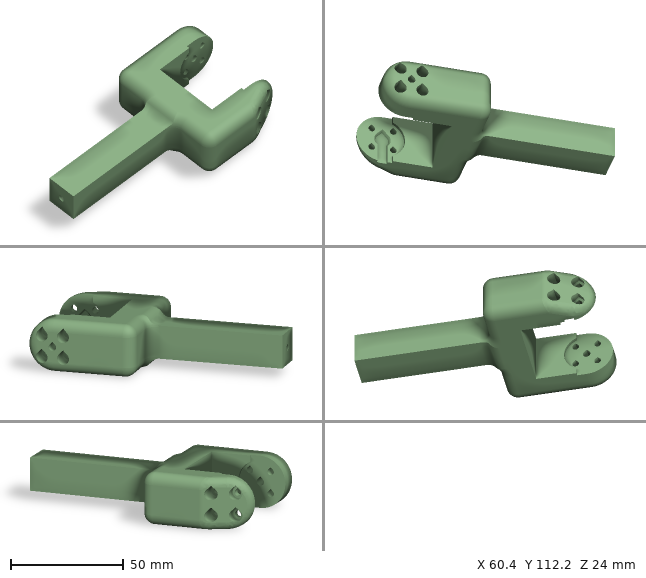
import cadquery as cq
import math

body_width = 60.4
body_length = 49.8
body_height = 24.0
total_length = 112.2
edge_radius = 5.0
half_width = body_width / 2
half_height = body_height / 2

stem_width = 15.3
stem_half = stem_width / 2
stem_length = total_length - body_length
tip_hole_diameter = 3.0
tip_hole_depth = 15.0

slot_width = 33.2
slot_floor_y = 15.1
recess_width = 36.1
recess_radius = 10.0
recess_back = 4.4

slope_start_y = 28.7
slope_tip_x = 20.6
slope_edge_radius = 4.0

hole_pitch = 10.0
screw_diameter = 3.0
head_diameter = 5.5
seat_thickness = 3.0
axle_diameter = 3.5

pocket_diameter = 7.6
pocket_depth = 1.3
pocket_taper = 30
groove_width = 4.6

tip_center_y = body_length - half_height
inner_x = recess_width / 2
flare_end_y = -edge_radius


def flared_plate():
    """Full-height fork plate whose front face flares concavely into the stem."""
    corner_x = half_width - edge_radius
    flare_x = stem_half + edge_radius
    return (
        cq.Workplane("XY")
        .workplane(offset=-half_height)
        .moveTo(0, body_length)
        .lineTo(-half_width, body_length)
        .lineTo(-half_width, edge_radius)
        .radiusArc((-corner_x, 0), -edge_radius)
        .lineTo(-flare_x, 0)
        .radiusArc((-stem_half, flare_end_y), edge_radius)
        .lineTo(-stem_half, -stem_length)
        .lineTo(0, -stem_length)
        .mirrorY()
        .extrude(body_height)
    )


def side_plane():
    """Workplane on the -X side of the body, drawn in Y and Z."""
    return cq.Workplane("YZ").workplane(offset=-half_width)


def rounded_tip_envelope():
    """Side shape that rounds the arm tips to a half circle."""
    return (
        side_plane()
        .moveTo(-stem_length, -half_height)
        .lineTo(tip_center_y, -half_height)
        .threePointArc((body_length, 0), (tip_center_y, half_height))
        .lineTo(-stem_length, half_height)
        .close()
        .extrude(body_width)
    )


def neck_envelope():
    """Side shape that steps down to the stem along two equal tangent arcs."""
    drop = half_height - stem_half
    run = math.sqrt(drop * (4 * edge_radius - drop))
    middle = (flare_end_y + run / 2, stem_half + drop / 2)
    return (
        side_plane()
        .moveTo(body_length, 0)
        .lineTo(body_length, half_height)
        .lineTo(flare_end_y + run, half_height)
        .radiusArc(middle, -edge_radius)
        .radiusArc((flare_end_y, stem_half), edge_radius)
        .lineTo(-stem_length, stem_half)
        .lineTo(-stem_length, 0)
        .mirrorX()
        .extrude(body_width)
    )


def fork_blank():
    """Solid fork body with rounded rims, joined to the sharp-edged stem."""
    plate = flared_plate().intersect(rounded_tip_envelope())
    rounded = plate.faces("<X or >X").edges("%CIRCLE").fillet(edge_radius)
    stem = cq.Workplane("XY").box(stem_width, stem_length, stem_width).translate((0, -stem_length / 2, 0))
    return rounded.intersect(neck_envelope()).union(stem)


def cut_slope(body):
    """Slope the outside of the +X arm and round the edges of the slope."""
    wedge = (
        cq.Workplane("XY")
        .workplane(offset=-half_height)
        .moveTo(slope_tip_x, body_length)
        .lineTo(half_width, body_length)
        .lineTo(half_width, slope_start_y)
        .close()
        .extrude(body_height)
    )
    slope_normal = cq.Vector(body_length - slope_start_y, half_width - slope_tip_x, 0)
    sloped = body.cut(wedge)
    return sloped.faces(cq.selectors.ParallelDirSelector(slope_normal)).edges().fillet(slope_edge_radius)


def fork_slot():
    """Space between the arms, with the recess at their tips."""
    slot_length = body_length - slot_floor_y
    slot = cq.Workplane("XY").box(slot_width, slot_length, body_height, centered=(True, False, True))
    round_back = (
        cq.Workplane("YZ")
        .center(tip_center_y, 0)
        .circle(recess_radius)
        .extrude(inner_x, both=True)
    )
    recess_length = half_height + recess_back
    recess = cq.Workplane("XY").box(recess_width, recess_length, body_height, centered=(True, False, True))
    recess = recess.translate((0, body_length - recess_length, 0)).union(round_back)
    return slot.translate((0, slot_floor_y, 0)).union(recess)


def teardrop(diameter, y, z, x_start, x_end, taper=0):
    """Round bar along X with a 90 degree ridge on its +Z side; the taper narrows it towards +X."""
    radius = diameter / 2
    shoulder = radius * math.sqrt(0.5)
    return (
        cq.Workplane("YZ")
        .workplane(offset=x_start)
        .center(y, z)
        .moveTo(-shoulder, shoulder)
        .threePointArc((0, -radius), (shoulder, shoulder))
        .lineTo(0, radius * math.sqrt(2))
        .close()
        .extrude(x_end - x_start, taper=taper)
    )


def screw_holes():
    """Four screw holes through both arms, with head pockets from outside."""
    seat_x = inner_x + seat_thickness
    holes = cq.Workplane("XY")
    for y_side in (-1, 1):
        for z_side in (-1, 1):
            y = tip_center_y + y_side * hole_pitch / 2
            z = z_side * hole_pitch / 2
            holes = holes.add(teardrop(screw_diameter, y, z, -half_width, half_width))
            holes = holes.add(teardrop(head_diameter, y, z, -half_width, -seat_x))
            holes = holes.add(teardrop(head_diameter, y, z, seat_x, half_width))
    return holes.combine()


def keyhole():
    """Tapered teardrop pocket inside the +X arm, reached by a groove open at the bottom."""
    pocket = teardrop(pocket_diameter, tip_center_y, 0, inner_x, inner_x + pocket_depth, pocket_taper)
    groove = cq.Workplane("XY").box(pocket_depth, groove_width, half_height, centered=(False, True, False))
    return pocket.union(groove.translate((inner_x, tip_center_y, -half_height)))


axle_hole = teardrop(axle_diameter, tip_center_y, 0, -half_width, 0)
tip_hole = (
    cq.Workplane("XZ", origin=(0, -stem_length, 0))
    .circle(tip_hole_diameter / 2)
    .extrude(-tip_hole_depth)
)

result = cut_slope(fork_blank())
for cutter in (fork_slot(), screw_holes(), axle_hole, keyhole(), tip_hole):
    result = result.cut(cutter)